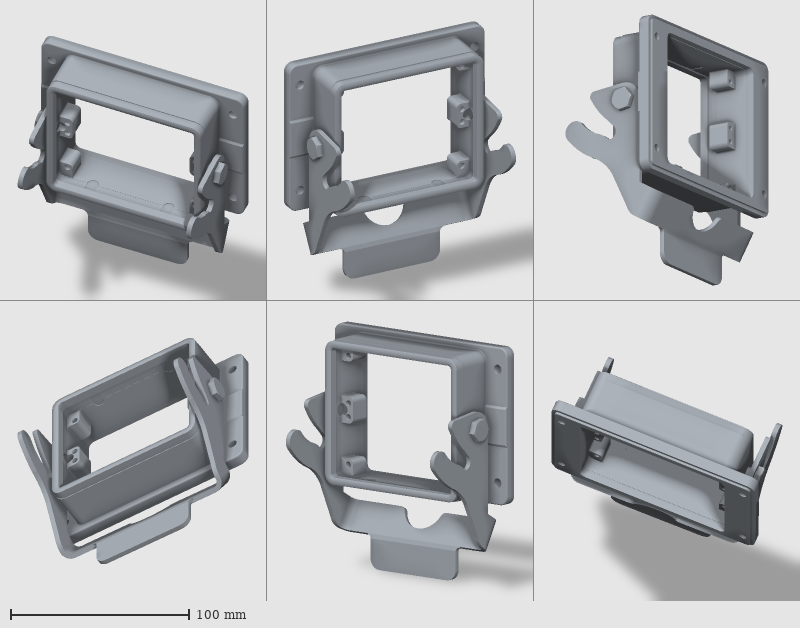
import cadquery as cq
import math


overall_height = 136.2

flange_width = 123.9
flange_height = 90.3
flange_corner = 5.2
flange_front = -7.9
flange_edge_round = 1.0
gasket_depth = 1.4
gasket_inset = 2.3

pad_rise = 1.0
pad_half_height = 11.6
pad_slope_run = 1.4

mount_hole_x = 55.3
mount_hole_z = 32.5
mount_front_d = 5.5
mount_back_d = 4.5

housing_width = 94.2
housing_height = 83.3
housing_corner = 6.1
housing_front = -29.8
root_fillet = 0.8
rim_height = 82.3
rim_wall = 4.1
rim_front = -35.3
rim_crown = 0.5
opening_width = housing_width - 2 * rim_wall
opening_height = rim_height - 2 * rim_wall
opening_corner = housing_corner - rim_wall

cavity_step = 0.8
band_step = 1.0
notch_step = 1.2
back_step = 1.1
back_step_end = -4.5
cavity_corner = 3.4
band_back = -24.2
notch_x = 23.2
notch_width = 6.5

boss_back = -11.8
boss_front = -24.0
boss_inner_x = 35.7
boss_corner = 2.7
boss_root_fillet = 1.0
boss_foot_fillet = 0.7
boss_hole_x = 39.0
boss_front_d = 3.7
boss_back_d = 3.0
middle_boss_half_height = 7.5
middle_hole_z = 4.0
corner_boss_z = 28.0
corner_hole_z = 31.0

pivot_y = -24.0
shaft_d = 7.9
shaft_end_x = 45.0
bore_d = 7.4
pocket_d = 6.8
pocket_x = 43.0
pocket_depth = 4.1
head_flats = 11.8
head_height = 3.7
head_bevel_d = 11.8
head_bevel_height = 0.5
head_turns = {-1: -8.0, 1: -20.0}

lever_skew = 0.5
sheet = 2.9
arm_outer_x = 52.7
arm_top_radius = 10.1
bend_radius = 6.8
bridge_tilt = 30.0
bridge_length = 18.5
bridge_back_y = 21.9
bridge_back_z = -56.4
cutout_radius = 13.6
cutout_depth = 11.5
cutout_corner = 3.4
tab_width = 60.5
tab_corner = 6.3
tab_shoulder_round = 2.5
tab_shoulder_z = -71.5
tab_back = 12.3
tab_top = -73.5
tab_bottom = flange_height / 2 - overall_height

eye_end = (-1.1, 10.1)
jaw_tip_start = (-20.3, 8.0)
jaw_tip_middle = (-22.5, 6.3)
jaw_tip_end = (-22.0, 3.1)
jaw_flank_middle = (-16.9, -4.5)
jaw_flank_end = (-10.5, -10.9)
slot_start = (-6.5, -14.8)
slot_bottom = (-6.3, -19.5)
slot_end = (-10.5, -21.5)
finger_root_middle = (-14.2, -18.7)
finger_root_end = (-18.8, -16.8)
finger_inside_middle = (-24.5, -13.3)
finger_tip_start = (-29.0, -8.7)
finger_tip_middle = (-37.3, -9.3)
finger_tip_end = (-37.9, -17.5)
finger_outside_middle = (-31.0, -24.4)
finger_outside_end = (-22.6, -30.0)
armpit_middle = (-14.2, -34.9)
shank_start = (-8.2, -42.0)
shank_end = (1.5, -62.4)
heel_middle = (3.7, -66.5)


def slab(width, height, y_back, y_front, corner):
    """Rounded rectangle centred on the Y axis, filled between two depths."""
    block = cq.Workplane("XZ", origin=(0, y_back, 0)).rect(width, height).extrude(y_back - y_front)
    return block.edges("|Y").fillet(corner)


def cavity_slab(step, y_back, y_front):
    """Opening outline grown by a step on every side."""
    return slab(
        opening_width + 2 * step, opening_height + 2 * step, y_back, y_front, cavity_corner
    )


def hole(x, z, y_front, y_back, front_diameter, back_diameter):
    """Tapered through hole along Y."""
    cone = cq.Solid.makeCone(
        front_diameter / 2, back_diameter / 2, y_back - y_front,
        cq.Vector(x, y_front, z), cq.Vector(0, 1, 0),
    )
    return cq.Workplane(cone)


def make_side_pad(side):
    """Raised pad with sloped ends and a rounded outer edge."""
    foot = pad_half_height
    crest = pad_half_height - pad_slope_run
    buried = flange_front + flange_edge_round
    inner_x = opening_width / 2 + rim_wall / 2
    profile = [
        (buried, -foot), (flange_front, -foot), (flange_front - pad_rise, -crest),
        (flange_front - pad_rise, crest), (flange_front, foot), (buried, foot),
    ]
    pad = cq.Workplane("YZ", origin=(inner_x, 0, 0)).polyline(profile).close()
    pad = pad.extrude(flange_width / 2 - inner_x)
    pad = pad.edges(cq.selectors.NearestToPointSelector((flange_width / 2, flange_front - pad_rise, 0)))
    pad = pad.fillet(flange_edge_round)
    return pad if side > 0 else pad.mirror("YZ")


def make_rim():
    """Front rim whose front face is a shallow crown all the way round."""
    half_path_z = (rim_height - rim_wall) / 2
    path = slab(
        housing_width - rim_wall, rim_height - rim_wall, housing_front, rim_front,
        housing_corner - rim_wall / 2,
    ).faces(">Y").wires()
    z_in = half_path_z - rim_wall / 2
    z_out = half_path_z + rim_wall / 2
    shoulder = rim_front + rim_crown
    section = (
        cq.Workplane("YZ")
        .moveTo(housing_front, z_in)
        .lineTo(shoulder, z_in)
        .threePointArc((rim_front, half_path_z), (shoulder, z_out))
        .lineTo(housing_front, z_out)
        .close()
    )
    return section.sweep(path, transition="round")


def make_frame():
    """Flange, housing, rim, cavity and mounting holes."""
    flange = slab(flange_width, flange_height, -gasket_depth, flange_front, flange_corner)
    flange = flange.faces("<Y").edges().fillet(flange_edge_round)
    gasket = slab(
        flange_width - 2 * gasket_inset, flange_height - 2 * gasket_inset, 0, -gasket_depth,
        flange_corner - gasket_inset,
    )
    frame = flange.union(gasket)
    for side in (-1, 1):
        frame = frame.union(make_side_pad(side))
    frame = frame.union(slab(housing_width, housing_height, -gasket_depth, housing_front, housing_corner))
    margin = 0.1
    root = cq.selectors.BoxSelector(
        (-housing_width / 2 - margin, flange_front - pad_rise - margin, -housing_height / 2 - margin),
        (housing_width / 2 + margin, flange_front + margin, housing_height / 2 + margin),
    )
    frame = frame.edges(root).fillet(root_fillet)

    frame = frame.cut(cavity_slab(cavity_step, 0, housing_front))
    frame = frame.cut(cavity_slab(back_step, 0, back_step_end))
    frame = frame.cut(cavity_slab(band_step, band_back, housing_front))
    notch_height = opening_height + 2 * notch_step
    for x in (-notch_x, notch_x):
        round_end = cq.Workplane("XY", origin=(x, band_back, 0)).cylinder(notch_height, notch_width / 2)
        frame = frame.cut(round_end)
        notch = cq.Workplane("XZ", origin=(x, band_back, 0)).rect(notch_width, notch_height)
        frame = frame.cut(notch.extrude(band_back - housing_front))

    for x in (-mount_hole_x, mount_hole_x):
        for z in (-mount_hole_z, mount_hole_z):
            frame = frame.cut(hole(x, z, flange_front, 0, mount_front_d, mount_back_d))
    return frame.union(make_rim())


def make_boss(side, z_low, z_high, rounded_edges, hole_heights):
    """Block on a side wall with rounded inner edges and screw holes along Y."""
    depth = boss_back - boss_front
    root_x = opening_width / 2 + rim_wall / 2
    boss = cq.Workplane("XY").box(root_x - boss_inner_x, depth, z_high - z_low, centered=False)
    boss = boss.translate((boss_inner_x, boss_front, z_low))
    boss = boss.edges("|Y and <X").edges(rounded_edges).fillet(boss_corner)
    for z in hole_heights:
        boss = boss.cut(hole(boss_hole_x, z, boss_front, boss_back, boss_front_d, boss_back_d))
    return boss if side > 0 else boss.mirror("YZ")


def add_bosses(frame):
    root_z = (opening_height + rim_wall) / 2
    middle = middle_boss_half_height
    wall_x = opening_width / 2 + cavity_step
    floor_z = opening_height / 2 + cavity_step
    for side in (-1, 1):
        frame = frame.union(make_boss(side, -middle, middle, "|Y", (-middle_hole_z, middle_hole_z)))
        frame = frame.union(make_boss(side, corner_boss_z, root_z, "<Z", (corner_hole_z,)))
        frame = frame.union(make_boss(side, -root_z, -corner_boss_z, ">Z", (-corner_hole_z,)))
        for z in (-corner_boss_z, -middle, middle, corner_boss_z):
            frame = fillet_boss_edge(frame, side * wall_x, z, boss_root_fillet)
        for z in (-floor_z, floor_z):
            frame = fillet_boss_edge(frame, side * boss_inner_x, z, boss_foot_fillet)
    return frame


def fillet_boss_edge(frame, x, z, radius):
    edge_middle = (x, (boss_back + boss_front) / 2, z)
    return frame.edges(cq.selectors.NearestToPointSelector(edge_middle)).fillet(radius)


def make_pivot_recess(side):
    """Bore along X at the inner end of a pivot screw, and a round pocket in the boss beside it."""
    bore = cq.Workplane("YZ", origin=(pocket_x, pivot_y, 0)).circle(bore_d / 2)
    bore = bore.extrude(shaft_end_x - pocket_x)
    pocket = cq.Workplane("XZ", origin=(pocket_x, boss_front, 0)).circle(pocket_d / 2)
    pocket = pocket.extrude(-pocket_depth)
    recess = bore.union(pocket)
    return recess if side > 0 else recess.mirror("YZ")


def make_pivot_screw(side):
    """Hexagon screw along X, with a bevelled head."""
    across_corners = head_flats / math.cos(math.radians(30))
    shaft = cq.Workplane("YZ", origin=(shaft_end_x, 0, 0)).circle(shaft_d / 2)
    shaft = shaft.extrude(arm_outer_x - shaft_end_x)
    head_plane = cq.Workplane("YZ", origin=(arm_outer_x, 0, 0))
    head = head_plane.transformed(rotate=(0, 0, 90 + head_turns[side]))
    head = head.polygon(6, across_corners).extrude(head_height)
    envelope = head_plane.circle(across_corners / 2).extrude(head_height)
    envelope = envelope.faces(">X").chamfer(head_bevel_height, (across_corners - head_bevel_d) / 2)
    screw = shaft.union(head.intersect(envelope))
    return screw if side > 0 else screw.mirror("YZ")


def bridge_point(forward, down):
    """(y, z) of a point measured from the upper back edge of the tilted bridge."""
    tilt = math.radians(bridge_tilt)
    y = bridge_back_y - forward * math.cos(tilt) - down * math.sin(tilt)
    z = bridge_back_z + forward * math.sin(tilt) - down * math.cos(tilt)
    return (y, z)


def make_arms():
    """The two side plates: pivot eye, catch slot, finger hook and shank."""
    shank_length = (bridge_back_y - arm_top_radius) / math.cos(math.radians(bridge_tilt))
    diagonal = arm_top_radius * math.sqrt(0.5)
    outline = (
        cq.Workplane("YZ", origin=(arm_outer_x - sheet, 0, 0))
        .moveTo(*bridge_point(bend_radius, 0))
        .lineTo(*bridge_point(shank_length, 0))
        .lineTo(arm_top_radius, 0)
        .threePointArc((diagonal, diagonal), eye_end)
        .lineTo(*jaw_tip_start)
        .threePointArc(jaw_tip_middle, jaw_tip_end)
        .threePointArc(jaw_flank_middle, jaw_flank_end)
        .lineTo(*slot_start)
        .threePointArc(slot_bottom, slot_end)
        .threePointArc(finger_root_middle, finger_root_end)
        .threePointArc(finger_inside_middle, finger_tip_start)
        .threePointArc(finger_tip_middle, finger_tip_end)
        .threePointArc(finger_outside_middle, finger_outside_end)
        .threePointArc(armpit_middle, shank_start)
        .lineTo(*shank_end)
        .threePointArc(heel_middle, bridge_point(bend_radius, bridge_length))
        .close()
    )
    arm = outline.extrude(sheet)
    return arm.union(arm.mirror("YZ"))


def make_bridge():
    """Tilted plate joining the arms, with rounded bends and a circular cutout in its upper edge."""
    tilt = math.radians(bridge_tilt)
    plane = cq.Plane(
        origin=(0, bridge_back_y, bridge_back_z),
        xDir=(1, 0, 0),
        normal=(0, -math.sin(tilt), -math.cos(tilt)),
    )

    inner_x = arm_outer_x - sheet
    flat_x = arm_outer_x - bend_radius
    inner_radius = bend_radius - sheet
    bridge = (
        cq.Workplane("XY")
        .moveTo(arm_outer_x, bend_radius)
        .radiusArc((flat_x, 0), bend_radius)
        .lineTo(-flat_x, 0)
        .radiusArc((-arm_outer_x, bend_radius), bend_radius)
        .lineTo(-inner_x, bend_radius)
        .radiusArc((-flat_x, sheet), -inner_radius)
        .lineTo(flat_x, sheet)
        .radiusArc((inner_x, bend_radius), -inner_radius)
        .close()
        .extrude(bridge_length)
    )
    centre_height = cutout_radius - cutout_depth
    cutout = cq.Workplane("XZ").center(0, -centre_height).circle(cutout_radius).extrude(-sheet)
    bridge = bridge.cut(cutout)
    mouth_x = math.sqrt(cutout_radius**2 - centre_height**2)
    for x in (-mouth_x, mouth_x):
        corner = cq.selectors.NearestToPointSelector((x, sheet / 2, 0))
        bridge = bridge.edges("|Y").edges(corner).fillet(cutout_corner)
    return cq.Workplane(bridge.val().moved(cq.Location(plane)))


def make_tab():
    """Upright thumb tab folded down from the lower edge of the bridge."""
    tab_front = tab_back - sheet
    profile = [
        bridge_point(0, bridge_length - sheet / 2),
        bridge_point(0, bridge_length),
        (tab_back, tab_top),
        (tab_back, tab_bottom),
        (tab_front, tab_bottom),
        (tab_front, tab_top),
        bridge_point(sheet, bridge_length),
        bridge_point(sheet, bridge_length - sheet / 2),
    ]
    half_width = tab_width / 2
    shoulder_x = half_width + tab_shoulder_round
    tab = cq.Workplane("YZ").polyline(profile).close().extrude(shoulder_x, both=True)
    waste = (
        cq.Workplane("XZ", origin=(0, tab_back + sheet, 0))
        .moveTo(half_width - tab_corner, tab_bottom)
        .radiusArc((half_width, tab_bottom + tab_corner), -tab_corner)
        .lineTo(half_width, tab_shoulder_z - tab_shoulder_round)
        .radiusArc((shoulder_x, tab_shoulder_z), tab_shoulder_round)
        .lineTo(shoulder_x, tab_bottom)
        .close()
        .extrude(3 * sheet)
    )
    return tab.cut(waste).cut(waste.mirror("YZ"))


def make_lever():
    """Arms, bridge, tab and pivot screws, turned slightly about Z and set on the pivot axis."""
    lever = make_arms().union(make_bridge()).union(make_tab())
    for side in (-1, 1):
        lever = lever.union(make_pivot_screw(side))
    return lever.rotate((0, 0, 0), (0, 0, 1), lever_skew).translate((0, pivot_y, 0))


result = add_bosses(make_frame())
for side in (-1, 1):
    result = result.cut(make_pivot_recess(side))
result = result.union(make_lever())